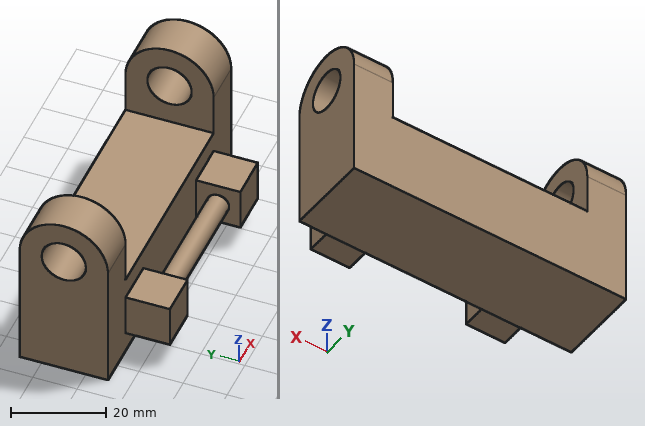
import cadquery as cq

length = 70.0
body_depth = 20.0
height = 40.0
bar_height = 20.0
lug_thickness = 10.0
lug_radius = body_depth / 2
pivot_height = height - lug_radius
pivot_hole_diameter = 10.0

block_size = 10.0
block_inset = lug_thickness
rod_diameter = 5.0
handle_height = bar_height / 2
rod_y = -(body_depth + block_size) / 2
block_offset = length / 2 - block_inset - block_size / 2


def make_lug(x_start):
    """Round-topped end plate with a pivot hole, extruded along +X."""
    return (
        cq.Workplane("YZ", origin=(x_start, 0, 0))
        .moveTo(-lug_radius, 0)
        .lineTo(lug_radius, 0)
        .lineTo(lug_radius, pivot_height)
        .threePointArc((0, height), (-lug_radius, pivot_height))
        .close()
        .moveTo(0, pivot_height)
        .circle(pivot_hole_diameter / 2)
        .extrude(lug_thickness)
    )


def make_block(x_center):
    """Cube that holds one end of the handle rod."""
    return cq.Workplane("XY").box(block_size, block_size, block_size).translate(
        (x_center, rod_y, handle_height)
    )


bar = cq.Workplane("XY").box(length, body_depth, bar_height, centered=(True, True, False))

rod = (
    cq.Workplane("YZ", origin=(-block_offset, rod_y, handle_height))
    .circle(rod_diameter / 2)
    .extrude(2 * block_offset)
)

result = bar
for lug_start in (-length / 2, length / 2 - lug_thickness):
    result = result.union(make_lug(lug_start))
for block_x in (-block_offset, block_offset):
    result = result.union(make_block(block_x))
result = result.union(rod).clean()